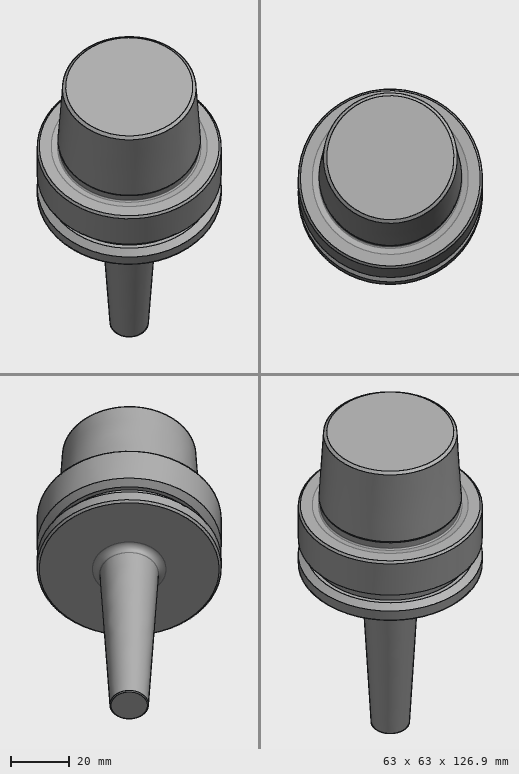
import cadquery as cq

total_height = 126.9
flange_top = 94.9
flange_bottom = 68.9
stem_top = 66.4
cone_bottom = 98.2
neck_top = 97.5
groove_top = 79.0
groove_bottom = 75.1

flange_radius = 31.5
groove_radius = 27.4
cone_bottom_radius = 24.4
cone_top_radius = 22.8
neck_radius = 24.0
stem_top_radius = 10.0
stem_tip_radius = 6.6

flange_chamfer = 0.8
groove_bevel_height = 1.5
groove_bevel_width = 2.7
cone_edge_width = 1.1
cone_edge_height = 0.8
stem_fillet = flange_bottom - stem_top
stem_tip_chamfer = 0.4
recess_radius = 26.6
recess_depth = 0.4
neck_fillet = 0.5


def build_profile():
    """Half section in the XZ plane, from the tip of the stem upwards."""
    profile = cq.Workplane("XZ").moveTo(0, 0)

    profile = (
        profile.lineTo(stem_tip_radius - stem_tip_chamfer, 0)
        .lineTo(stem_tip_radius, stem_tip_chamfer)
        .lineTo(stem_top_radius, stem_top)
        .radiusArc((stem_top_radius + stem_fillet, flange_bottom), stem_fillet)
    )

    profile = (
        profile.lineTo(flange_radius - flange_chamfer, flange_bottom)
        .lineTo(flange_radius, flange_bottom + flange_chamfer)
        .lineTo(flange_radius, groove_bottom - groove_bevel_height)
        .lineTo(flange_radius - groove_bevel_width, groove_bottom)
        .lineTo(groove_radius, groove_bottom)
        .lineTo(groove_radius, groove_top)
        .lineTo(flange_radius - groove_bevel_width, groove_top)
        .lineTo(flange_radius, groove_top + groove_bevel_height)
        .lineTo(flange_radius, flange_top - flange_chamfer)
        .lineTo(flange_radius - flange_chamfer, flange_top)
    )

    recess_floor = flange_top - recess_depth
    profile = (
        profile.lineTo(recess_radius, flange_top)
        .lineTo(neck_radius + neck_fillet, recess_floor)
        .radiusArc((neck_radius, recess_floor + neck_fillet), neck_fillet)
    )

    profile = (
        profile.lineTo(neck_radius, neck_top)
        .lineTo(cone_bottom_radius, cone_bottom)
        .lineTo(cone_top_radius, total_height - cone_edge_height)
        .lineTo(cone_top_radius - cone_edge_width, total_height)
        .lineTo(0, total_height)
    )
    return profile.close()


result = build_profile().revolve(360, (0, 0, 0), (0, 1, 0))